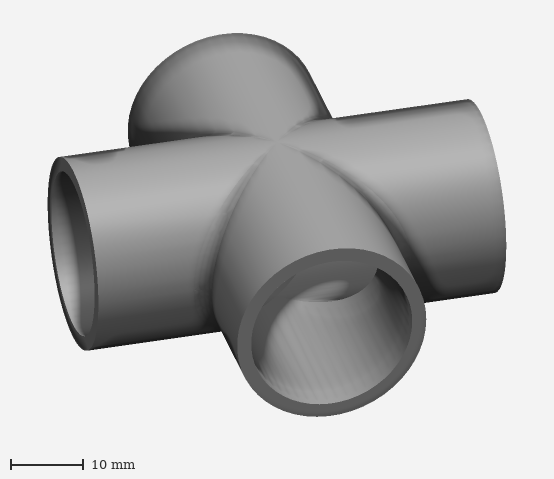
import cadquery as cq

outer_diameter = 26.9
wall_thickness = 2.0
overall_length = 58.0
junction_fillet_radius = 2.0

inner_diameter = outer_diameter - 2 * wall_thickness


def centred_cylinder(end_plane, diameter):
    """Cylinder of the full part length, centred on the origin and normal to end_plane."""
    return cq.Workplane(end_plane).circle(diameter / 2).extrude(overall_length / 2, both=True)


def crossed_cylinders(diameter):
    """Union of one cylinder along X and one along Y."""
    return centred_cylinder("YZ", diameter).union(centred_cylinder("XZ", diameter))


def filleted_body():
    """Solid outer cross, blended along the elliptical edges where the two cylinders meet."""
    return crossed_cylinders(outer_diameter).edges("%ELLIPSE").fillet(junction_fillet_radius)


result = filleted_body().cut(crossed_cylinders(inner_diameter))